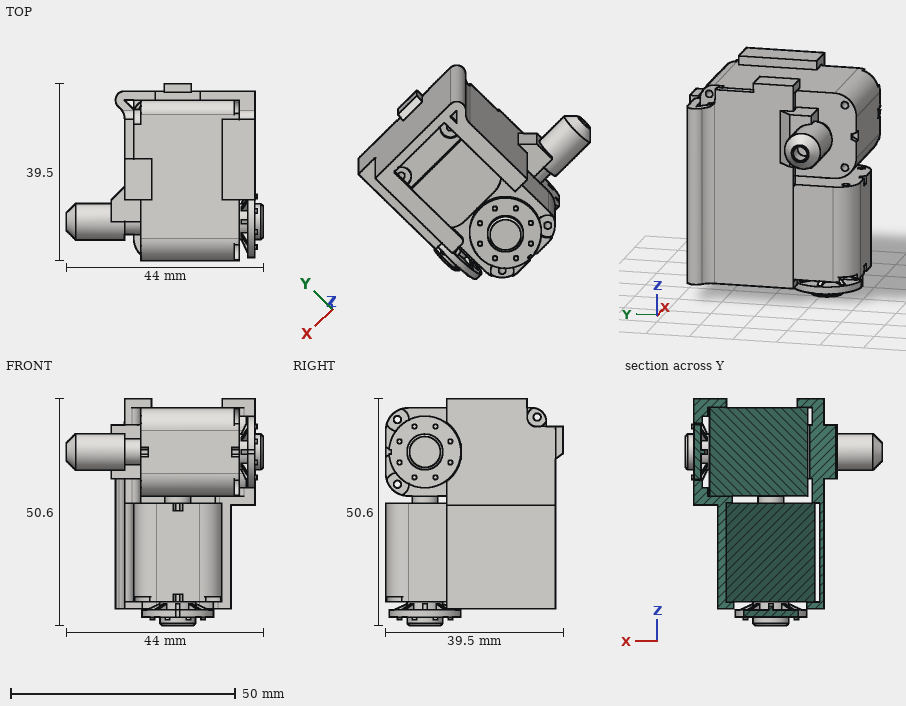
import cadquery as cq
import math


servo_width = 19.7
servo_front = -8.75
servo_back = 27.1
servo_length = 22.0
front_radius = 5.05
back_radius = 3.2
half_width = servo_width / 2
screw_diameter = 1.6
front_screw_inset = 2.65
back_screw_inset = 2.1
front_head_radius = 2.6
back_head_radius = 2.25
head_depth = 1.1
notch_mouth = 2.15
notch_floor = 0.95
notch_depth = 1.2
notch_length = 1.65
raised_half_width = 7.95
raised_front = 8.1
raised_back = 21.7
step_height = 1.55
idler_diameter = 5.8

hub_diameter = 8.0
disc_diameter = 16.0
disc_start = 1.8
disc_thickness = 1.6
boss_height = 1.95
boss_chamfer = 0.55
rib_count = 8
rib_width = 0.95
rib_start = 0.45
rib_inner_reach = 4.0
rib_outer_reach = 6.95
stud_count = 8
stud_diameter = 1.0
stud_height = 0.5
stud_circle_radius = 6.15
rim_notch_width = 0.85
rim_notch_depth = 0.5
disc_end = disc_start + disc_thickness

upper_left = -8.25
upper_right = upper_left + servo_length
lower_top = -(half_width + step_height)
lower_bottom = lower_top - servo_length

wall = 2.05
wall_front = 4.85
plate_inner = servo_back
plate_outer = plate_inner + wall
left_outer = -(half_width + wall)
right_outer = half_width + wall
upper_right_outer = 17.25
upper_block_bottom = -11.85
bracket_bottom = lower_bottom - step_height
tab_top = half_width + wall
left_tab_right = -5.85
left_tab_back = 14.0
right_tab_left = 9.9
back_notch_front = 22.8
back_notch_floor = 5.7
back_notch_radius = 2.1
filler_notch_radius = 3.2
hook_fillet = 3.25
horn_clearance_diameter = 16.35
ledge_left = 8.3
left_edge_radius = 2.0
small_edge_radius = 0.95

clip_half_width = 3.05
clip_reach = 1.65
clip_root = 0.3
clip_gap_half_width = 5.0
clip_gap_depth = 0.5
clip_bottom = -1.55
clip_slope = 1.2

block_left = -14.85
block_half_height = 6.05
pin_diameter = 8.2
pin_tip = -24.9
pin_tip_diameter = 4.0
pin_cone_length = 2.15
pin_hole_diameter = 3.2
pin_hole_depth = 4.05


def box(x_range, y_range, z_range):
    """A box given by its limits along X, Y and Z."""
    size = [limits[1] - limits[0] for limits in (x_range, y_range, z_range)]
    corner = (x_range[0], y_range[0], z_range[0])
    return cq.Workplane("XY").box(*size, centered=False).translate(corner)


def rod(diameter, x_start, x_end, y=0.0, z=0.0):
    """A cylinder along X."""
    return cq.Workplane("YZ", origin=(x_start, y, z)).circle(diameter / 2).extrude(x_end - x_start)


def case_block(x_start, x_end, front):
    """The rounded case section, extruded along X."""
    block = box((x_start, x_end), (front, servo_back), (-half_width, half_width))
    return block.edges("|X and <Y").fillet(front_radius).edges("|X and >Y").fillet(back_radius)


def idler_step():
    """The raised step on the idler face of a servo."""
    return box((-step_height, 0), (raised_front, raised_back), (-half_width, half_width))


def make_servo(idler_length):
    """A servo whose case runs from its idler face at x = 0 to its horn face at x = servo_length."""
    case = case_block(0, servo_length, servo_front)

    raised = case_block(servo_length, servo_length + step_height, raised_front)
    raised_limits = box(
        (servo_length, servo_length + step_height),
        (raised_front, raised_back),
        (-raised_half_width, raised_half_width),
    )
    case = case.union(raised.intersect(raised_limits)).union(idler_step())
    case = case.union(rod(idler_diameter, -idler_length, 0))

    screws = (
        (servo_front + front_screw_inset, half_width - front_screw_inset, front_head_radius),
        (servo_back - back_screw_inset, half_width - back_screw_inset, back_head_radius),
    )
    for y, z, head_radius in screws:
        for side in (-1, 1):
            hole = rod(screw_diameter, 0, servo_length + step_height, y, side * z)
            head = rod(2 * head_radius, servo_length - head_depth, servo_length, y, side * z)
            case = case.cut(hole).cut(head)

    notch = (
        cq.Workplane("YZ")
        .moveTo(servo_front, -notch_mouth / 2)
        .lineTo(servo_front + notch_depth, -notch_floor / 2)
        .lineTo(servo_front + notch_depth, notch_floor / 2)
        .lineTo(servo_front, notch_mouth / 2)
        .close()
        .extrude(notch_length)
    )
    return case.cut(notch).cut(notch.translate((servo_length - notch_length, 0, 0)))


def make_horn():
    """An output horn whose hub rests on the plane x = 0."""
    horn = rod(hub_diameter, 0, disc_end + boss_height).faces(">X").chamfer(boss_chamfer)
    horn = horn.union(rod(disc_diameter, disc_start, disc_end))

    rib = (
        cq.Workplane("XY")
        .polyline([
            (rib_start, 0),
            (rib_start, rib_inner_reach),
            (disc_start, rib_outer_reach),
            (disc_start, 0),
        ])
        .close()
        .extrude(rib_width / 2, both=True)
    )
    for i in range(rib_count):
        horn = horn.union(rib.rotate((0, 0, 0), (1, 0, 0), i * 360 / rib_count))

    for i in range(stud_count):
        angle = (i + 0.5) * 2 * math.pi / stud_count
        y = stud_circle_radius * math.cos(angle)
        z = stud_circle_radius * math.sin(angle)
        horn = horn.union(rod(stud_diameter, disc_start, disc_end + stud_height, y, z))

    rim = -disc_diameter / 2
    rim_notch = box(
        (disc_start, disc_end),
        (rim, rim + rim_notch_depth),
        (-rim_notch_width / 2, rim_notch_width / 2),
    )
    return horn.cut(rim_notch)


def place_upper(body, offset=0.0):
    """Move a body built along X onto the upper servo's axis."""
    return body.translate((upper_left + offset, 0, 0))


def place_lower(body, offset=0.0):
    """Turn a body built along X so that it points down the lower servo's axis."""
    return body.rotate((0, 0, 0), (0, 1, 0), 90).translate((0, 0, lower_top - offset))


def hooked_wall():
    """The left wall and the back plate, joined by a rounded hook at the back left corner."""
    bend_start = plate_inner - math.sqrt(wall**2 + 2 * wall * hook_fillet)
    hook_share = wall / (wall + hook_fillet)
    bend_end = (
        left_outer - hook_fillet * hook_share,
        plate_inner - (plate_inner - bend_start) * hook_share,
    )
    outline = (
        cq.Workplane("XY", origin=(0, 0, bracket_bottom))
        .moveTo(left_outer, wall_front)
        .lineTo(left_outer, bend_start)
        .radiusArc(bend_end, -hook_fillet)
        .threePointArc((left_outer - wall, plate_inner), (left_outer, plate_outer))
        .lineTo(right_outer, plate_outer)
        .lineTo(right_outer, plate_inner)
        .lineTo(left_outer, plate_inner)
        .lineTo(-half_width, plate_inner - wall)
        .lineTo(-half_width, wall_front + left_edge_radius)
        .radiusArc((-half_width - left_edge_radius, wall_front), left_edge_radius)
        .close()
    )
    return outline.extrude(half_width - bracket_bottom)


def back_notch(x_range, front, radius):
    """The cutter that opens the top back of the bracket, with a rounded inner corner."""
    notch = box(x_range, (front, plate_outer + wall), (back_notch_floor, tab_top))
    return notch.edges("|X and <Y and <Z").fillet(radius)


def rounded_left_front(block, radius):
    """Round the upright edge of a box that has the lowest X and Y."""
    return block.edges("|Z and <Y and <X").fillet(radius)


def left_filler():
    """The thicker part of the left wall, level with the upper servo."""
    filler = box((left_outer, upper_left), (wall_front, plate_inner - wall), (lower_top, half_width))
    filler = filler.edges("|Z and <Y and >X").fillet(left_edge_radius)
    return filler.cut(back_notch((-half_width, upper_left), raised_back, filler_notch_radius))


def right_walls():
    """The walls right of both servos, the back behind them and the ledge under the upper servo."""
    depth = (wall_front, plate_outer)
    upper_wall = box((upper_right, upper_right_outer), depth, (upper_block_bottom, tab_top))
    upper_wall = rounded_left_front(upper_wall, small_edge_radius)
    lower_wall = box((half_width, right_outer), depth, (bracket_bottom, lower_top))
    back_z = (upper_block_bottom, half_width)
    back = box((upper_left, upper_right_outer), (plate_inner, plate_outer), back_z)
    ledge = box((ledge_left, upper_right_outer), depth, (lower_top, -half_width))
    ledge = rounded_left_front(ledge, small_edge_radius)
    ledge_side = box((half_width, upper_right_outer), depth, (upper_block_bottom, -half_width))
    return upper_wall.union(lower_wall).union(back).union(ledge).union(ledge_side)


def bracket_floor():
    """The floor under the lower servo, open around the raised end and the horn."""
    depth = (wall_front, plate_outer)
    height = (bracket_bottom, lower_bottom)
    left = box((-half_width, -raised_half_width), depth, height)
    lip = box((left_outer, -half_width), (wall_front, back_notch_front), height)
    right = box((raised_half_width, right_outer), depth, height)
    return left.union(lip).union(rounded_left_front(right, small_edge_radius))


def cut_servo_room(bracket):
    """Clear the steps of both servos and the upper horn."""
    recess_x = (upper_right, upper_right + step_height)
    recess_z = (-raised_half_width, raised_half_width)
    bracket = bracket.cut(box(recess_x, (wall_front, raised_back), recess_z))
    bracket = bracket.cut(rod(horn_clearance_diameter, upper_right, upper_right_outer))
    return bracket.cut(place_upper(idler_step())).cut(place_lower(idler_step()))


def cut_back_opening(bracket):
    """Lower the back plate and the rear of both side walls, with a shallow gap above the clip."""
    left_x = (left_outer - wall, -half_width)
    right_x = (upper_right, upper_right_outer)
    for x_range in (left_x, right_x):
        bracket = bracket.cut(back_notch(x_range, back_notch_front, back_notch_radius))
    plate_x = (left_outer - wall, upper_right_outer)
    plate_y = (plate_inner - wall, plate_outer)
    bracket = bracket.cut(box(plate_x, plate_y, (back_notch_floor, tab_top)))
    gap_x = (-clip_gap_half_width, clip_gap_half_width)
    gap_z = (back_notch_floor - clip_gap_depth, back_notch_floor)
    return bracket.cut(box(gap_x, (plate_inner, plate_outer), gap_z))


def tabs():
    """The two tabs that hold the upper servo down."""
    height = (half_width, tab_top)
    left = box((left_outer, left_tab_right), (wall_front, left_tab_back), height)
    return left.union(box((right_tab_left, upper_right_outer), (wall_front, back_notch_front), height))


def make_clip():
    """The clip on the back of the bracket, sloped on its underside."""
    clip_start = plate_outer - clip_root
    clip_end = plate_outer + clip_reach
    return (
        cq.Workplane("YZ", origin=(-clip_half_width, 0, 0))
        .polyline([
            (clip_start, back_notch_floor),
            (clip_end, back_notch_floor),
            (clip_end, clip_bottom + clip_slope),
            (plate_outer, clip_bottom),
            (clip_start, clip_bottom),
        ])
        .close()
        .extrude(2 * clip_half_width)
    )


def make_pivot():
    """The chamfered block on the left wall with the conical pivot pin at its front."""
    slope_back = wall_front + left_outer - block_left
    block = (
        cq.Workplane("XY", origin=(0, 0, -block_half_height))
        .polyline([
            (block_left, 0),
            (upper_left, 0),
            (upper_left, wall_front),
            (left_outer, slope_back),
            (block_left, wall_front),
        ])
        .close()
        .extrude(2 * block_half_height)
    )
    block = block.cut(rod(idler_diameter, left_outer, upper_left))
    cone_end = pin_tip + pin_cone_length
    pin = (
        cq.Workplane("XZ")
        .polyline([
            (pin_tip, 0),
            (pin_tip, pin_tip_diameter / 2),
            (cone_end, pin_diameter / 2),
            (left_outer, pin_diameter / 2),
            (left_outer, 0),
        ])
        .close()
        .revolve(360, (0, 0, 0), (1, 0, 0))
    )
    pin = pin.cut(rod(pin_hole_diameter, pin_tip, pin_tip + pin_hole_depth))
    return block.union(pin)


def make_bracket():
    """The bracket that holds both servos, with its tabs, clip and pivot pin in one piece."""
    bracket = hooked_wall().union(left_filler()).union(right_walls()).union(bracket_floor())
    bracket = cut_back_opening(cut_servo_room(bracket))
    return bracket.union(tabs()).union(make_clip()).union(make_pivot())


bracket = make_bracket()
upper_servo = place_upper(make_servo(upper_left - left_outer))
lower_servo = place_lower(make_servo(step_height))
upper_horn = place_upper(make_horn(), servo_length)
lower_horn = place_lower(make_horn(), servo_length)

result = cq.Compound.makeCompound([
    bracket.val(),
    upper_servo.val(),
    lower_servo.val(),
    upper_horn.val(),
    lower_horn.val(),
])